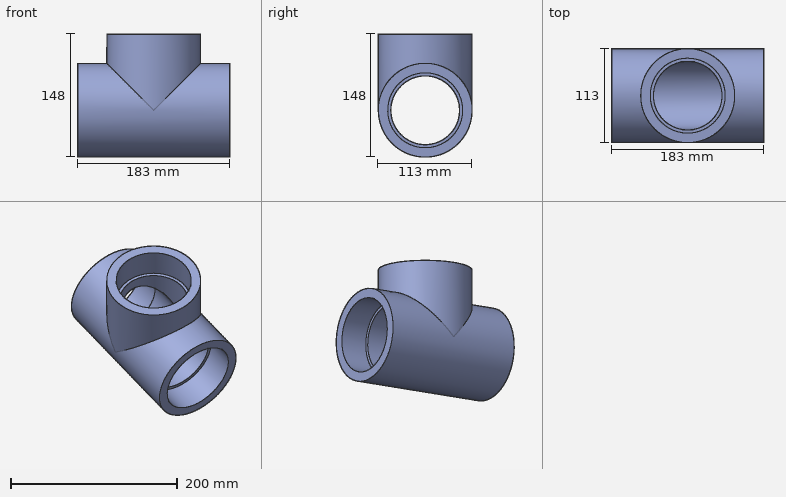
import cadquery as cq

run_length = 183.0
outer_diameter = 113.0
bore_diameter = 82.4
socket_diameter = 90.0
socket_depth = 36.0

arm_length = run_length / 2


def arm_cylinder(direction, diameter, start, length):
    """Cylinder on an arm's axis, starting at a distance from the crossing of the axes."""
    axis = cq.Vector(*direction)
    solid = cq.Solid.makeCylinder(diameter / 2, length, axis * start, axis)
    return cq.Workplane(obj=solid)


def run_and_branch(diameter):
    """Full-length run joined to the branch, both of one diameter."""
    run = arm_cylinder((1, 0, 0), diameter, -arm_length, run_length)
    branch = arm_cylinder((0, 0, 1), diameter, 0, arm_length)
    return run.union(branch)


result = run_and_branch(outer_diameter).cut(run_and_branch(bore_diameter))

for direction in [(1, 0, 0), (-1, 0, 0), (0, 0, 1)]:
    socket = arm_cylinder(direction, socket_diameter, arm_length - socket_depth, socket_depth)
    result = result.cut(socket)